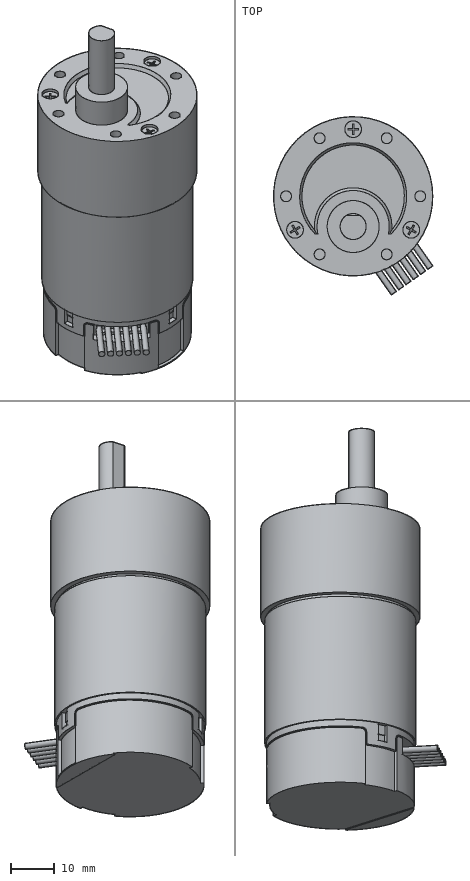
import cadquery as cq
import math


TOTAL_HEIGHT = 89.6
FOOT_HEIGHT = 0.3
CAP_TOP = 15.5
MOTOR_RADIUS = 17.5
GEARBOX_DIAMETER = 36.8
GEARBOX_RADIUS = GEARBOX_DIAMETER / 2
GEARBOX_BOTTOM = 46.1
GEARBOX_TOP = 67.7
NECK_HEIGHT = 0.7
NECK_INSET = 0.45

SHAFT_OFFSET = 7.0
SHAFT_DIAMETER = 6.0
SHAFT_FLAT_DISTANCE = 2.5
SHAFT_FLAT_BOTTOM = 77.7
BOSS_RADIUS = 6.0
BOSS_TOP = 74.3

RECESS_DEPTH = 0.9
RECESS_TOP_RADIUS = 12.4
RECESS_FLOOR_RADIUS = 11.8
ISLAND_TOP_RADIUS = 8.3
ISLAND_FLOOR_RADIUS = 9.0
RECESS_TIP_Y = -8.7

FACE_CIRCLE_RADIUS = 15.5
MOUNT_HOLE_COUNT = 6
MOUNT_HOLE_DIAMETER = 2.5
MOUNT_HOLE_DEPTH = 3.6
SCREW_ANGLES = [90.0, 210.0, 330.0]
SCREW_DIAMETER = 3.85
SCREW_RECESS = 0.7
CROSS_LENGTH = 2.4
CROSS_WIDTH = 0.4
CROSS_DEPTH = 0.5

CAP_RADIUS = 17.1
CUTTER_RADIUS = CAP_RADIUS + 0.9
NOTCH_FLOOR_RADIUS = 16.3
NOTCH_WIDTH_ANGLE = 30.0
LIP_BOTTOM = 9.95
PLATE_TOP = 13.7
PLATE_CORNER_RADIUS = 0.9
SEAM_WIDTH = 0.3
SEAM_FLOOR_RADIUS = 16.9
CABLE_ANGLE = -55.0
NOTCH_TO_CABLE_ANGLE = 45.0
NOTCH_ANGLES = [
    CABLE_ANGLE - NOTCH_TO_CABLE_ANGLE,
    CABLE_ANGLE + NOTCH_TO_CABLE_ANGLE,
    CABLE_ANGLE + 180.0,
]

WINDOW_WIDTH = 2.5
WINDOW_BOTTOM = 11.3
WINDOW_STEP = 13.2
WINDOW_UPPER_DEPTH = 0.9
WINDOW_LOWER_DEPTH = 1.2

FOOT_START_X = 12.7
FOOT_WIDTH = 21.9

SLOT_WIDTH = 13.2
SLOT_BOTTOM = 9.7
SLOT_TOP = PLATE_TOP + SEAM_WIDTH
SLOT_FLOOR_DISTANCE = 13.6
CONNECTOR_WIDTH = 12.7
CONNECTOR_TOP = 13.0
CONNECTOR_FACE_DISTANCE = 14.1
CONNECTOR_WALL = 0.7
CAVITY_DEPTH = 1.3
CAVITY_FLOOR_DISTANCE = CONNECTOR_FACE_DISTANCE - CAVITY_DEPTH
WIRE_COUNT = 6
WIRE_DIAMETER = 1.4
WIRE_SPACING = 2.1
WIRE_HEIGHT = 11.2
WIRE_TIP_DISTANCE = 23.7


def cylinder(radius, bottom, top):
    return cq.Workplane("XY").workplane(offset=bottom).circle(radius).extrude(top - bottom)


def cone(bottom_radius, top_radius, bottom, top, center_y=0.0):
    solid = cq.Solid.makeCone(bottom_radius, top_radius, top - bottom, cq.Vector(0, center_y, bottom))
    return cq.Workplane("XY").add(solid)


def radial_block(angle, near, far, width, bottom, top):
    """Box reaching outwards from the axis between two distances, turned to the given angle."""
    block = cq.Workplane("XY").box(far - near, width, top - bottom, centered=(False, True, False))
    return block.translate((near, 0, bottom)).rotate((0, 0, 0), (0, 0, 1), angle)


def ring_sector(inner, outer, start_angle, sweep, bottom, top):
    """Part of a ring, swept counter-clockwise from the start angle."""
    profile = cq.Workplane("XZ").moveTo(inner, bottom).lineTo(outer, bottom).lineTo(outer, top)
    sector = profile.lineTo(inner, top).close().revolve(sweep, (0, 0, 0), (0, 1, 0))
    return sector.rotate((0, 0, 0), (0, 0, 1), start_angle)


def make_gearbox():
    body = cylinder(GEARBOX_RADIUS, GEARBOX_BOTTOM, GEARBOX_TOP)

    recess_floor = GEARBOX_TOP - RECESS_DEPTH
    recess = cone(RECESS_FLOOR_RADIUS, RECESS_TOP_RADIUS, recess_floor, GEARBOX_TOP)
    island = cone(ISLAND_FLOOR_RADIUS, ISLAND_TOP_RADIUS, recess_floor, GEARBOX_TOP, -SHAFT_OFFSET)
    beyond_tips = radial_block(-90, -RECESS_TIP_Y, GEARBOX_RADIUS, GEARBOX_DIAMETER,
                               recess_floor, GEARBOX_TOP)
    body = body.cut(recess.cut(island).cut(beyond_tips))

    face = cq.Workplane("XY").workplane(offset=GEARBOX_TOP)
    holes = face.polarArray(FACE_CIRCLE_RADIUS, 0, 360, MOUNT_HOLE_COUNT).circle(MOUNT_HOLE_DIAMETER / 2)
    body = body.cut(holes.extrude(-MOUNT_HOLE_DEPTH))

    screw_top = GEARBOX_TOP - SCREW_RECESS
    for angle in SCREW_ANGLES:
        screw = cylinder(SCREW_DIAMETER / 2, screw_top, GEARBOX_TOP)
        for arm in ((CROSS_LENGTH, CROSS_WIDTH), (CROSS_WIDTH, CROSS_LENGTH)):
            cross_arm = cq.Workplane("XY").workplane(offset=screw_top).rect(*arm).extrude(-CROSS_DEPTH)
            screw = screw.union(cross_arm)
        screw = screw.translate((FACE_CIRCLE_RADIUS, 0, 0))
        body = body.cut(screw.rotate((0, 0, 0), (0, 0, 1), angle))
    return body


def make_shaft():
    boss = cylinder(BOSS_RADIUS, GEARBOX_TOP, BOSS_TOP)
    shaft = cylinder(SHAFT_DIAMETER / 2, GEARBOX_TOP, TOTAL_HEIGHT)
    flat = radial_block(90, SHAFT_FLAT_DISTANCE, SHAFT_DIAMETER, SHAFT_DIAMETER,
                        SHAFT_FLAT_BOTTOM, TOTAL_HEIGHT)
    return boss.union(shaft.cut(flat)).translate((0, -SHAFT_OFFSET, 0))


def make_motor():
    shoulder = GEARBOX_BOTTOM - NECK_HEIGHT
    can = cylinder(MOTOR_RADIUS, CAP_TOP, shoulder)
    neck = cone(MOTOR_RADIUS, MOTOR_RADIUS - NECK_INSET, shoulder, GEARBOX_BOTTOM)
    return can.union(neck)


def rounded_sector(start_angle, sweep, top, corner_radius):
    """Ring sector around the cap wall with its two upper corners rounded."""
    inner = SEAM_FLOOR_RADIUS
    outer = CUTTER_RADIUS
    sector = ring_sector(inner, outer, 0, sweep, FOOT_HEIGHT, top)
    middle = (inner + outer) / 2
    for angle in (0, math.radians(sweep)):
        corner = (middle * math.cos(angle), middle * math.sin(angle), top)
        sector = sector.edges(cq.selectors.NearestToPointSelector(corner)).fillet(corner_radius)
    return sector.rotate((0, 0, 0), (0, 0, 1), start_angle)


def make_seam(start_angle, sweep):
    """Narrow groove that runs along the top and sides of a plate."""
    seam_angle = math.degrees(SEAM_WIDTH / CAP_RADIUS)
    plate = rounded_sector(start_angle, sweep, PLATE_TOP, PLATE_CORNER_RADIUS)
    surround = rounded_sector(start_angle - seam_angle, sweep + 2 * seam_angle,
                              PLATE_TOP + SEAM_WIDTH, PLATE_CORNER_RADIUS + SEAM_WIDTH)
    return surround.cut(plate)


def make_cap():
    cap = cylinder(CAP_RADIUS, FOOT_HEIGHT, CAP_TOP)

    notches = sorted(angle % 360 for angle in NOTCH_ANGLES)
    for index, notch in enumerate(notches):
        notch_start = notch - NOTCH_WIDTH_ANGLE / 2
        cap = cap.cut(ring_sector(NOTCH_FLOOR_RADIUS, CUTTER_RADIUS, notch_start, NOTCH_WIDTH_ANGLE,
                                  FOOT_HEIGHT, LIP_BOTTOM))
        next_notch = notches[(index + 1) % len(notches)]
        plate_sweep = (next_notch - notch) % 360 - NOTCH_WIDTH_ANGLE
        cap = cap.cut(make_seam(notch + NOTCH_WIDTH_ANGLE / 2, plate_sweep))

    for angle in NOTCH_ANGLES:
        for depth, bottom, top in ((WINDOW_LOWER_DEPTH, WINDOW_BOTTOM, WINDOW_STEP),
                                   (WINDOW_UPPER_DEPTH, WINDOW_STEP, CAP_TOP)):
            window = radial_block(angle, CAP_RADIUS - depth, MOTOR_RADIUS, WINDOW_WIDTH, bottom, top)
            cap = cap.cut(window)

    foot = cylinder(CAP_RADIUS, 0, FOOT_HEIGHT)
    foot_zone = radial_block(0, FOOT_START_X, MOTOR_RADIUS, FOOT_WIDTH, 0, FOOT_HEIGHT)
    return cap.union(foot.intersect(foot_zone))


def add_connector(cap):
    """Cut the cable slot into the cap and set a hollow connector on its floor."""
    slot = radial_block(CABLE_ANGLE, SLOT_FLOOR_DISTANCE, MOTOR_RADIUS, SLOT_WIDTH, SLOT_BOTTOM, SLOT_TOP)
    shell = radial_block(CABLE_ANGLE, SLOT_FLOOR_DISTANCE, CONNECTOR_FACE_DISTANCE,
                         CONNECTOR_WIDTH, SLOT_BOTTOM, CONNECTOR_TOP)
    cavity = radial_block(CABLE_ANGLE, CAVITY_FLOOR_DISTANCE, CONNECTOR_FACE_DISTANCE,
                          CONNECTOR_WIDTH - 2 * CONNECTOR_WALL,
                          SLOT_BOTTOM + CONNECTOR_WALL, CONNECTOR_TOP - CONNECTOR_WALL)
    return cap.cut(slot).union(shell).cut(cavity)


def make_wires():
    start = cq.Workplane("YZ").workplane(offset=CAVITY_FLOOR_DISTANCE).center(0, WIRE_HEIGHT)
    wires = start.rarray(WIRE_SPACING, 0.9, WIRE_COUNT, 1).circle(WIRE_DIAMETER / 2)
    wires = wires.extrude(WIRE_TIP_DISTANCE - CAVITY_FLOOR_DISTANCE)
    return wires.rotate((0, 0, 0), (0, 0, 1), CABLE_ANGLE)


cap = add_connector(make_cap())
result = make_motor().union(make_gearbox()).union(make_shaft()).union(cap).union(make_wires())